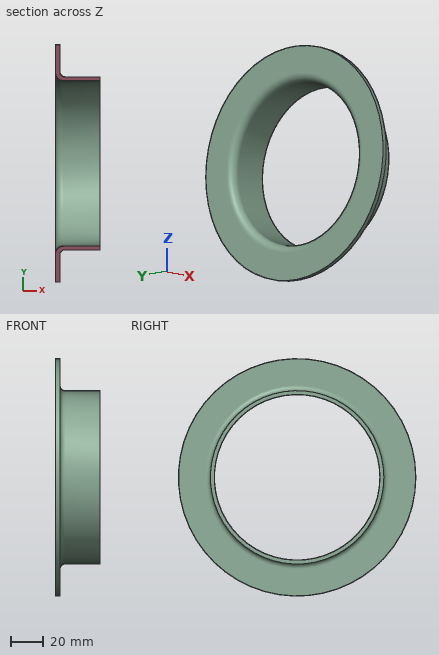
import cadquery as cq
import math

flange_diameter = 148.0
tube_outer_diameter = 108.0
tube_inner_diameter = 103.0
total_length = 28.0
flange_thickness = 3.0
root_radius = 3.1
mouth_radius = 5.0

flange_edge = flange_diameter / 2
tube_outside = tube_outer_diameter / 2
bore = tube_inner_diameter / 2

root_centre = (flange_thickness + root_radius, tube_outside + root_radius)
mouth_centre = (mouth_radius, bore + mouth_radius)


def lower_left_arc_middle(centre, radius):
    """Middle of the quarter arc facing the axis and the flange face."""
    offset = radius * math.sqrt(0.5)
    return (centre[0] - offset, centre[1] - offset)


half_section = (
    cq.Workplane("XY")
    .moveTo(0, flange_edge)
    .lineTo(flange_thickness, flange_edge)
    .lineTo(flange_thickness, root_centre[1])
    .threePointArc(lower_left_arc_middle(root_centre, root_radius), (root_centre[0], tube_outside))
    .lineTo(total_length, tube_outside)
    .lineTo(total_length, bore)
    .lineTo(mouth_centre[0], bore)
    .threePointArc(lower_left_arc_middle(mouth_centre, mouth_radius), (0, mouth_centre[1]))
    .close()
)

result = half_section.revolve(360, (0, 0, 0), (1, 0, 0))